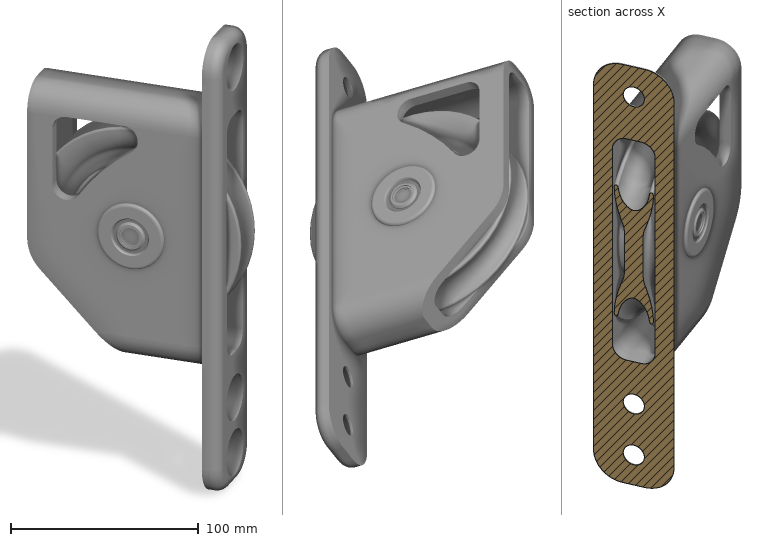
import cadquery as cq
import math


plate_back = 42.0
plate_thickness = 10.0
plate_width = 47.0
plate_top = 118.0
plate_bottom = -145.0
plate_corner_radius = 17.0
plate_edge_radius = 6.0
screw_hole_diameter = 12.0
screw_head_diameter = 26.0
screw_holes = ((99.0, 3.0), (-94.0, 1.5), (-126.0, 1.5))

housing_back = -59.0
housing_width = 37.5
housing_top = 78.0
housing_bottom = -73.8
housing_corner_radius = 14.5
housing_wall = 6.5
corner_cut_start = -20.3
corner_blend_radius = 24.5

window_back = -44.7
window_top = 63.7
window_lobe_radius = 8.0
window_lobe_spacing = 32.5
window_long_side_radius = 110.0

rim_radius = 59.5
sheave_half_width = 11.5
rim_tip_radius = 1.3
groove_root_radius = 51.0
rim_arc_radius = 17.0
rim_arc_outer = rim_radius - rim_tip_radius
rim_arc_inner = 46.0
web_outer = 44.0
hub_radius = 38.0
hub_chamfer = 1.2
hub_blend_radius = 3.0

bar_radius = 19.0
bar_length = 41.0
bar_edge_radius = 1.8
recess_outer_radius = 10.8
recess_inner_radius = 9.9
recess_depth = 1.5
pin_radius = 8.25
pin_chamfer = 1.2
socket_radii = (4.1, 5.0, 6.0)
socket_step = 0.8

quarter_mid = 1 - math.sqrt(0.5)
cut_overrun = 1.0


def box_along_x(x_start, length, width, bottom, top, corner_radius):
    """Block along X with rounded edges parallel to X."""
    block = cq.Workplane("XY").box(length, width, top - bottom)
    block = block.edges("|X").fillet(corner_radius)
    return block.translate((x_start + length / 2, 0, (top + bottom) / 2))


def make_screw_hole(height, straight_depth):
    """Hole with a countersink opening to +X; a deeper one goes on at the head diameter."""
    hole_radius = screw_hole_diameter / 2
    head_radius = screw_head_diameter / 2
    head_depth = straight_depth + head_radius - hole_radius
    profile = (
        cq.Workplane("XY", origin=(plate_back, 0, height))
        .lineTo(0, hole_radius)
        .lineTo(straight_depth, hole_radius)
        .lineTo(head_depth, head_radius)
        .lineTo(plate_thickness + cut_overrun, head_radius)
        .lineTo(plate_thickness + cut_overrun, 0)
        .close()
    )
    return profile.revolve(360, (0, 0, 0), (1, 0, 0))


def make_plate():
    plate = box_along_x(
        plate_back, plate_thickness, plate_width, plate_bottom, plate_top, plate_corner_radius
    )
    plate = plate.faces(">X").edges().fillet(plate_edge_radius)
    for height, straight_depth in screw_holes:
        plate = plate.cut(make_screw_hole(height, straight_depth))
    return plate


def make_housing():
    housing = box_along_x(
        housing_back,
        plate_back - housing_back,
        housing_width,
        housing_bottom,
        housing_top,
        housing_corner_radius,
    )
    cut_run = corner_cut_start - housing_bottom
    side_outline = (
        cq.Workplane("XZ")
        .moveTo(housing_back, housing_top)
        .lineTo(housing_back, corner_cut_start)
        .lineTo(housing_back + cut_run, housing_bottom)
        .lineTo(plate_back, housing_bottom)
        .lineTo(plate_back, housing_top)
        .close()
        .extrude(housing_width / 2, both=True)
    )
    cut_corner = cq.selectors.NearestToPointSelector((housing_back, 0, corner_cut_start))
    side_outline = side_outline.edges("|Y").edges(cut_corner).fillet(corner_blend_radius)
    return housing.intersect(side_outline)


def make_passage():
    """Inside of the tube, open at the back and through the face plate."""
    return box_along_x(
        housing_back,
        plate_back + plate_thickness - housing_back,
        housing_width - 2 * housing_wall,
        housing_bottom + housing_wall,
        housing_top - housing_wall,
        housing_corner_radius - housing_wall,
    )


def point_at(centre, radius, angle):
    """Point at an angle in degrees, counterclockwise from the first axis."""
    turn = math.radians(angle)
    return (centre[0] + radius * math.cos(turn), centre[1] + radius * math.sin(turn))


def make_window():
    radius = window_lobe_radius
    corner = (window_back + radius, window_top - radius)
    lower = (corner[0], corner[1] - window_lobe_spacing)
    right = (corner[0] + window_lobe_spacing, corner[1])

    centre_distance = window_long_side_radius + radius
    half_spacing = window_lobe_spacing / math.sqrt(2)
    tilt = math.degrees(math.asin(half_spacing / centre_distance))
    long_side_centre = point_at(lower, centre_distance, -45 + tilt)

    window = (
        cq.Workplane("XZ")
        .moveTo(corner[0], window_top)
        .threePointArc(point_at(corner, radius, 135), (window_back, corner[1]))
        .lineTo(window_back, lower[1])
        .threePointArc(
            point_at(lower, radius, (180 + 315 + tilt) / 2),
            point_at(lower, radius, 315 + tilt),
        )
        .threePointArc(
            point_at(long_side_centre, window_long_side_radius, 135),
            point_at(right, radius, -45 - tilt),
        )
        .threePointArc(
            point_at(right, radius, (90 - 45 - tilt) / 2),
            (right[0], window_top),
        )
        .close()
    )
    return window.extrude(housing_width / 2, both=True)


def revolve_about_axle(profile):
    """Revolve an XY outline (X radial, Y axial) about the Y axis."""
    return profile.close().revolve(360, (0, 0, 0), (0, 1, 0))


def make_sheave():
    turn = math.asin((rim_arc_outer - rim_arc_inner) / rim_arc_radius)
    blend_radius = (rim_arc_inner - web_outer) / math.sin(turn)
    arc_drop = rim_arc_radius * (1 - math.cos(turn))
    arc_end_y = sheave_half_width - arc_drop
    web_half = arc_end_y - blend_radius * (1 - math.cos(turn))

    arc_mid = (
        rim_arc_outer - rim_arc_radius * math.sin(turn / 2),
        sheave_half_width - rim_arc_radius * (1 - math.cos(turn / 2)),
    )
    blend_mid = (
        web_outer + blend_radius * math.sin(turn / 2),
        web_half + blend_radius * (1 - math.cos(turn / 2)),
    )
    hub_mid = hub_blend_radius * quarter_mid

    groove_edge_y = sheave_half_width - 2 * rim_tip_radius

    half = revolve_about_axle(
        cq.Workplane("XY")
        .lineTo(0, sheave_half_width)
        .lineTo(hub_radius - hub_chamfer, sheave_half_width)
        .lineTo(hub_radius, sheave_half_width - hub_chamfer)
        .lineTo(hub_radius, web_half + hub_blend_radius)
        .threePointArc(
            (hub_radius + hub_mid, web_half + hub_mid),
            (hub_radius + hub_blend_radius, web_half),
        )
        .lineTo(web_outer, web_half)
        .threePointArc(blend_mid, (rim_arc_inner, arc_end_y))
        .threePointArc(arc_mid, (rim_arc_outer, sheave_half_width))
        .threePointArc(
            (rim_radius, sheave_half_width - rim_tip_radius),
            (rim_arc_outer, groove_edge_y),
        )
        .lineTo(rim_arc_outer, 0)
    )
    wheel = half.union(half.mirror("XZ"))

    groove_depth = rim_arc_outer - groove_root_radius
    groove_radius = (groove_depth**2 + groove_edge_y**2) / (2 * groove_depth)
    groove_centre = groove_root_radius + groove_radius
    groove = (
        cq.Workplane("XY")
        .center(groove_centre, 0)
        .circle(groove_radius)
        .revolve(360, (-groove_centre, 0, 0), (-groove_centre, 1, 0))
    )
    return wheel.cut(groove)


def make_axle():
    """Axle bar with a ring recess around a pin head, and a stepped socket, in each end."""
    face = bar_length / 2
    edge_mid = bar_edge_radius * quarter_mid
    floor = face - len(socket_radii) * socket_step
    profile = cq.Workplane("XY").lineTo(0, floor)
    for radius in socket_radii:
        profile = profile.lineTo(radius, floor)
        floor += socket_step
        profile = profile.lineTo(radius, floor)
    half = revolve_about_axle(
        profile
        .lineTo(pin_radius - pin_chamfer, face)
        .lineTo(pin_radius, face - pin_chamfer)
        .lineTo(pin_radius, face - recess_depth)
        .lineTo(recess_inner_radius, face - recess_depth)
        .lineTo(recess_outer_radius, face)
        .lineTo(bar_radius - bar_edge_radius, face)
        .threePointArc(
            (bar_radius - edge_mid, face - edge_mid),
            (bar_radius, face - bar_edge_radius),
        )
        .lineTo(bar_radius, 0)
    )
    return half.union(half.mirror("XZ"))


frame = make_plate().union(make_housing()).cut(make_passage()).cut(make_window())
result = frame.union(make_sheave()).union(make_axle())